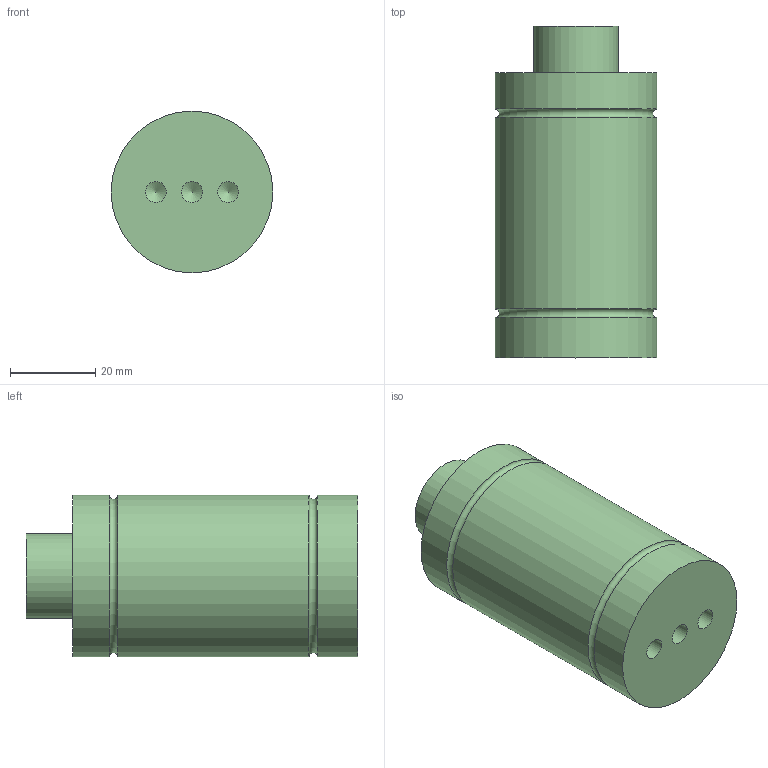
import cadquery as cq
import math

body_diameter = 38.0
body_length = 67.0
rod_diameter = 20.0
rod_length = 11.0

groove_radius = 1.0
front_groove_offset = 10.5
rear_groove_offset = 9.5
groove_positions = (front_groove_offset, body_length - rear_groove_offset)

centre_hole_diameter = 5.0
side_hole_diameter = 4.92
hole_pitch = 8.5
hole_depth = 10.0
drill_tip_angle = 118.0


def cylinder_along_y(diameter, start_y, length):
    """Solid cylinder on the part's axis, running towards +Y."""
    base = cq.Workplane("XZ", origin=(0, start_y, 0))
    return base.circle(diameter / 2).extrude(-length)


def groove_ring(centre_y):
    """Ring of circular section, centred on the body surface."""
    section = cq.Workplane("XY").center(body_diameter / 2, centre_y).circle(groove_radius)
    axis_start = (-body_diameter / 2, 0)
    axis_end = (-body_diameter / 2, 1)
    return section.revolve(axisStart=axis_start, axisEnd=axis_end)


def drilled_hole(diameter, centre_x):
    """Blind hole with a conical tip, entering from the front face."""
    radius = diameter / 2
    tip_length = radius / math.tan(math.radians(drill_tip_angle / 2))
    half_section = (
        cq.Workplane("XY")
        .polyline([(0, 0), (radius, 0), (radius, hole_depth), (0, hole_depth + tip_length)])
        .close()
    )
    return half_section.revolve(axisStart=(0, 0), axisEnd=(0, 1)).translate((centre_x, 0, 0))


body = cylinder_along_y(body_diameter, 0, body_length)
rod = cylinder_along_y(rod_diameter, body_length, rod_length)
result = body.union(rod)

for groove_y in groove_positions:
    result = result.cut(groove_ring(groove_y))

result = result.cut(drilled_hole(centre_hole_diameter, 0))
for side in (-1, 1):
    result = result.cut(drilled_hole(side_hole_diameter, side * hole_pitch))